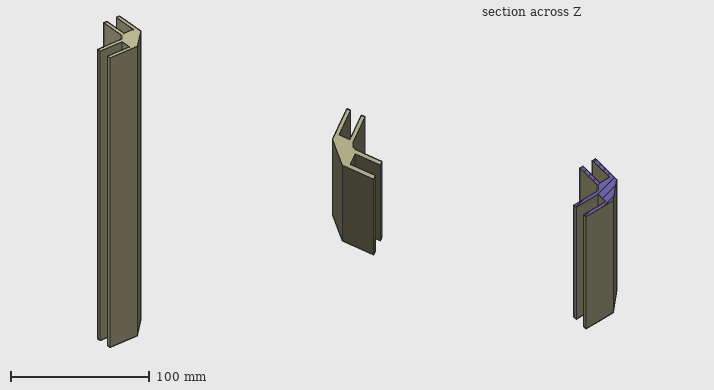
import cadquery as cq

length = 250.0
leg_span = 39.5
wall = 3.0
channel_gap = 8.5
channel_depth = 20.0
inner_radius = 5.0

leg_width = 2 * wall + channel_gap
inner_edge = leg_span - leg_width
corner_chamfer = leg_width
channel_centre = leg_span - leg_width / 2


def make_corner_body():
    """L-shaped bar with its outer corner at (leg_span, leg_span)."""
    outline = [
        (0, inner_edge),
        (inner_edge, inner_edge),
        (inner_edge, 0),
        (leg_span, 0),
        (leg_span, leg_span - corner_chamfer),
        (leg_span - corner_chamfer, leg_span),
        (0, leg_span),
    ]
    body = cq.Workplane("XY").polyline(outline).close().extrude(length)
    inner_corner = cq.selectors.NearestToPointSelector((inner_edge, inner_edge, length / 2))
    return body.edges(inner_corner).fillet(inner_radius)


def make_channel(size_x, size_y, centre_x, centre_y):
    """Full-length cutter for one panel channel."""
    return (
        cq.Workplane("XY")
        .center(centre_x, centre_y)
        .rect(size_x, size_y)
        .extrude(length)
    )


channel_toward_x = make_channel(channel_depth, channel_gap, channel_depth / 2, channel_centre)
channel_toward_y = make_channel(channel_gap, channel_depth, channel_centre, channel_depth / 2)

result = make_corner_body().cut(channel_toward_x).cut(channel_toward_y)